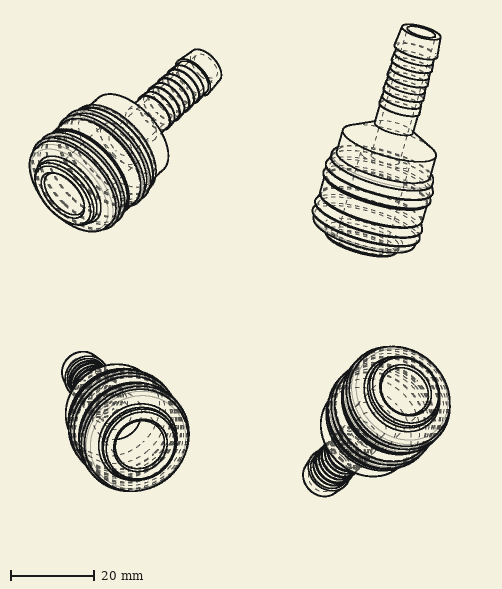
import cadquery as cq
import math

length = 55.0

nose_radius = 9.1
nose_chamfer = 0.55
nose_length = 1.75
collar_radius = 9.75
collar_fillet = collar_radius - nose_radius

sleeve_start = 2.5
sleeve_end = 20.5
sleeve_radius = 12.7
sleeve_fillet = 0.8
grip_band_start = 9.45
grip_band_end = 13.95
grip_band_radius = 12.8
rib_diameter = 26.8
rib_radius = rib_diameter / 2
rib_root_radius = 12.5
rib_rounding = 0.35
rib_length = 2.3
rib_pitch = 2.25
rib_pair_starts = (4.55, 14.35)

neck_radius = 11.65
neck_end = 26.05
cone_end = 30.05
tail_radius = 4.8

barb_count = 4
barb_first_start = 35.1
barb_pitch = 3.75
barb_length = 1.85
barb_wide_radius = 5.05
barb_narrow_radius = 4.9
tip_barb_length = 4.95
tip_barb_wide_radius = 5.4
tip_barb_narrow_radius = 4.85

socket_radius = 6.1
socket_chamfer = 0.55
socket_depth = 22.0
passage_radius = 3.5


def cylinder(radius, start, end):
    """Solid cylinder along Y between two stations."""
    return cq.Workplane("XZ", origin=(0, start, 0)).circle(radius).extrude(start - end)


def revolve_profile(points):
    """Solid of revolution about Y from (radius, Y) points, closed along the axis."""
    on_axis = [(0, points[0][1])] + points + [(0, points[-1][1])]
    return cq.Workplane("XY").polyline(on_axis).close().revolve(360, (0, 0, 0), (0, 1, 0))


def cone(start_radius, end_radius, start, end):
    """Solid truncated cone along Y."""
    return revolve_profile([(start_radius, start), (end_radius, end)])


def make_nose():
    nose = cylinder(nose_radius, 0, sleeve_start).faces("<Y").chamfer(nose_chamfer)
    collar_base = sleeve_start + collar_fillet
    collar = cylinder(collar_radius, nose_length, collar_base).faces("<Y").fillet(collar_fillet)
    return nose.union(collar)


def make_rib(start):
    """Grip rib with a rounded front edge, tapering towards the tail."""
    round_center = (rib_radius - rib_rounding, start + rib_rounding)
    round_offset = rib_rounding * math.sqrt(0.5)
    round_middle = (round_center[0] + round_offset, round_center[1] - round_offset)
    profile = (
        cq.Workplane("XY")
        .moveTo(0, start)
        .lineTo(rib_radius - rib_rounding, start)
        .threePointArc(round_middle, (rib_radius, start + rib_rounding))
        .lineTo(rib_root_radius, start + rib_length)
        .lineTo(0, start + rib_length)
        .close()
    )
    return profile.revolve(360, (0, 0, 0), (0, 1, 0))


def make_sleeve():
    front = cylinder(sleeve_radius, sleeve_start, rib_pair_starts[0]).faces("<Y").fillet(sleeve_fillet)
    back_ribs_end = rib_pair_starts[1] + rib_pitch + rib_length
    back = cylinder(sleeve_radius, back_ribs_end, sleeve_end).faces(">Y").fillet(sleeve_fillet)
    sleeve = cylinder(rib_root_radius, rib_pair_starts[0], back_ribs_end).union(front).union(back)
    sleeve = sleeve.union(cylinder(grip_band_radius, grip_band_start, grip_band_end))
    for pair_start in rib_pair_starts:
        for index in range(2):
            sleeve = sleeve.union(make_rib(pair_start + index * rib_pitch))
    return sleeve


def make_tail():
    tail = revolve_profile([
        (neck_radius, sleeve_start),
        (neck_radius, neck_end),
        (tail_radius, cone_end),
        (tail_radius, length),
    ])
    for index in range(barb_count):
        start = barb_first_start + index * barb_pitch
        tail = tail.union(cone(barb_wide_radius, barb_narrow_radius, start, start + barb_length))
    tip_start = length - tip_barb_length
    return tail.union(cone(tip_barb_wide_radius, tip_barb_narrow_radius, tip_start, length))


def make_bores():
    passage = cylinder(passage_radius, 0, length)
    socket = cylinder(socket_radius, 0, socket_depth)
    lead_in = cone(socket_radius + socket_chamfer, socket_radius, 0, socket_chamfer)
    return passage.union(socket).union(lead_in)


result = make_tail().union(make_sleeve()).union(make_nose()).cut(make_bores())